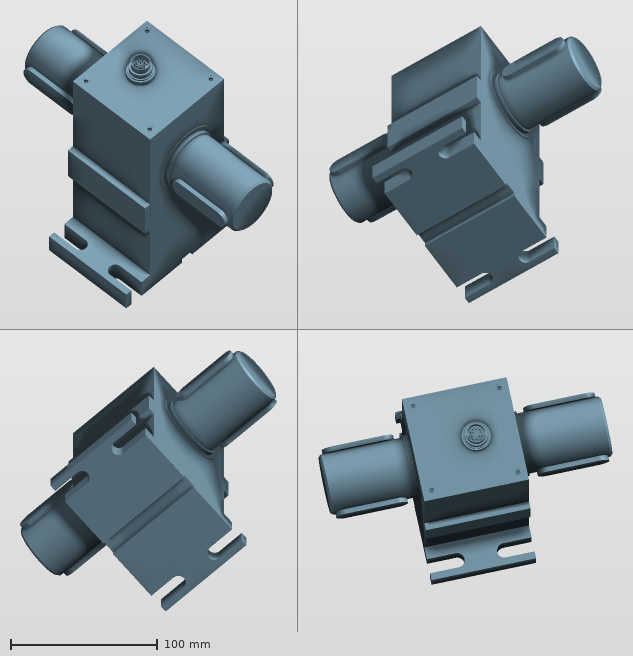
import cadquery as cq
import math

HOUSING_WIDTH = 73.0
HOUSING_TOP = 165.0
FOOT_LENGTH_Y = 120.0
FOOT_HEIGHT = 15.2

BAND_DEPTH_Y = 83.0
BAND_BOTTOM = 65.0
BAND_TOP = 93.4

SEAT_Z = 75.5
SEAT_CHAMFER = 0.5
SEAT_GAP = 0.2

MOUNT_SLOT_WIDTH = 10.0
MOUNT_SLOT_END_X = 11.5
MOUNT_SLOT_Y = 50.0

KEYWAY_WIDTH = 10.0
KEYWAY_DEPTH = 4.0

SCREW_OFFSET = 30.1
SCREW_HEAD_DIAMETER = 6.0
SCREW_HEAD_RECESS = 0.2
SOCKET_DIAMETER = 3.5
SOCKET_DEPTH = 2.0

SHAFT_LENGTH = 197.0
SHAFT_DIAMETER = 42.0
SHAFT_CHAMFER = 1.5
SHAFT_Z = 111.9
COLLAR_DIAMETER = 45.0
COLLAR_HALF_LENGTH = 40.0
BOSS_DIAMETER = 52.0
BOSS_HEIGHT = 0.5
BOSS_HALF_LENGTH = HOUSING_WIDTH / 2 + BOSS_HEIGHT

KEY_LENGTH = 50.0
KEY_WIDTH = 14.0
KEY_CENTRE_X = 70.3
KEY_INNER_Y = 20.7
KEY_OUTER_Y = 24.0

CONNECTOR_X = -7.5
CONNECTOR_HEIGHT = 13.4
CONNECTOR_STEPS = [(20.0, 3.7), (18.0, 5.0), (16.0, 8.7), (13.4, CONNECTOR_HEIGHT)]
BORE_DIAMETER = 12.2
BORE_DEPTH = 5.0
POLARISING_RIB_DIAMETER = 3.0
PIN_DIAMETER = 0.77
PIN_HEIGHT = 3.5
PIN_PLACES = [(3.3, 16.0), (4.1, 42.0), (3.3, 80.0), (4.1, 115.0), (4.1, 150.0), (2.5, 137.0)]


def block(size_x, size_y, bottom, top):
    """Box centred on the Z axis between two heights."""
    height = top - bottom
    return cq.Workplane("XY").box(size_x, size_y, height, (True, True, False)).translate((0, 0, bottom))


def cross_cylinder(diameter, half_length):
    """Cylinder on the shaft axis, symmetric about the middle of the housing."""
    return cq.Workplane("YZ").center(0, SHAFT_Z).circle(diameter / 2).extrude(half_length, both=True)


def mounting_slots():
    """Four slots in the foot, open to the -X and +X ends."""
    inner_x = MOUNT_SLOT_END_X
    outer_x = HOUSING_WIDTH / 2 + MOUNT_SLOT_WIDTH
    centres = [
        (side_x * (inner_x + outer_x) / 2, side_y * MOUNT_SLOT_Y)
        for side_x in (-1, 1)
        for side_y in (-1, 1)
    ]
    slots = cq.Workplane("XY").pushPoints(centres).slot2D(outer_x - inner_x, MOUNT_SLOT_WIDTH)
    return slots.extrude(FOOT_HEIGHT)


def seat_clearance():
    """Chamfer voids at the seat's two edges and the thin gap along the -Y wall."""
    wall_y = HOUSING_WIDTH / 2
    voids = cq.Workplane("XY")
    for side in (-1, 1):
        triangle = [
            (side * wall_y, SEAT_Z),
            (side * (wall_y - SEAT_CHAMFER), SEAT_Z),
            (side * wall_y, SEAT_Z + SEAT_CHAMFER),
        ]
        outline = cq.Workplane("YZ").polyline(triangle).close()
        voids = voids.add(outline.extrude(HOUSING_WIDTH / 2, both=True))
    gap = block(HOUSING_WIDTH, SEAT_GAP, SEAT_Z, BAND_TOP).translate((0, -wall_y + SEAT_GAP / 2, 0))
    return voids.add(gap).combine()


def make_housing():
    body = block(HOUSING_WIDTH, HOUSING_WIDTH, 0, HOUSING_TOP)
    body = body.union(block(HOUSING_WIDTH, FOOT_LENGTH_Y, 0, FOOT_HEIGHT))
    body = body.union(block(HOUSING_WIDTH, BAND_DEPTH_Y, BAND_BOTTOM, BAND_TOP))
    body = body.union(cross_cylinder(BOSS_DIAMETER, BOSS_HALF_LENGTH))

    body = body.cut(cross_cylinder(COLLAR_DIAMETER, BOSS_HALF_LENGTH))
    body = body.cut(mounting_slots())
    body = body.cut(block(HOUSING_WIDTH, KEYWAY_WIDTH, 0, KEYWAY_DEPTH))
    body = body.cut(seat_clearance())

    screw_spacing = 2 * SCREW_OFFSET
    screws = cq.Workplane("XY", (0, 0, HOUSING_TOP)).rarray(screw_spacing, screw_spacing, 2, 2)
    body = body.cut(screws.circle(SCREW_HEAD_DIAMETER / 2).extrude(-SCREW_HEAD_RECESS))
    return body.cut(screws.polygon(6, SOCKET_DIAMETER).extrude(-SOCKET_DEPTH))


def make_shaft():
    shaft = cross_cylinder(SHAFT_DIAMETER, SHAFT_LENGTH / 2).faces("<X or >X").chamfer(SHAFT_CHAMFER)
    shaft = shaft.union(cross_cylinder(COLLAR_DIAMETER, COLLAR_HALF_LENGTH))
    for side in (-1, 1):
        keys = (
            cq.Workplane("XZ", (0, side * KEY_INNER_Y, SHAFT_Z))
            .pushPoints([(-KEY_CENTRE_X, 0), (KEY_CENTRE_X, 0)])
            .slot2D(KEY_LENGTH, KEY_WIDTH)
            .extrude(-side * (KEY_OUTER_Y - KEY_INNER_Y))
        )
        shaft = shaft.union(keys)
    return shaft


def contact_pins():
    """Contact pins standing on the XY plane around the Z axis."""
    centres = []
    for radius, angle in PIN_PLACES:
        x = radius * math.cos(math.radians(angle))
        y = radius * math.sin(math.radians(angle))
        centres += [(x, y), (-x, -y)]
    return cq.Workplane("XY").pushPoints(centres).circle(PIN_DIAMETER / 2).extrude(PIN_HEIGHT)


def make_connector():
    floor = CONNECTOR_HEIGHT - BORE_DEPTH
    plug = cq.Workplane("XY")
    for diameter, top in CONNECTOR_STEPS:
        plug = plug.union(cq.Workplane("XY").circle(diameter / 2).extrude(top))
    bore = cq.Workplane("XY").circle(BORE_DIAMETER / 2).extrude(BORE_DEPTH)
    rib_outline = cq.Workplane("XY").center(BORE_DIAMETER / 2, 0).circle(POLARISING_RIB_DIAMETER / 2)
    rib = rib_outline.extrude(BORE_DEPTH)
    plug = plug.cut(bore.cut(rib).translate((0, 0, floor)))

    plug = plug.union(contact_pins().translate((0, 0, floor)))
    return plug.translate((CONNECTOR_X, 0, HOUSING_TOP))


housing = make_housing()
shaft = make_shaft()
connector = make_connector()

result = cq.Compound.makeCompound([housing.val(), shaft.val(), connector.val()])